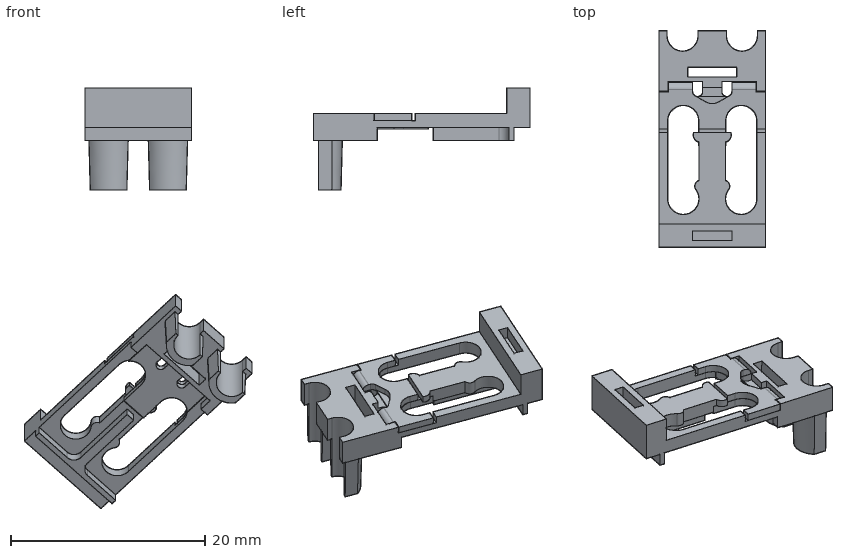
import cadquery as cq
import math


width = 11.0
length = 22.3
deck_top = 1.47
half_width = width / 2

head_length = 2.4
head_top = 4.08
pocket_half_width = 2.03
pocket_front = 0.71
pocket_width = 0.98
pocket_depth = 1.34

underside = -1.34
foot_front = 1.65
foot_back = 2.19
rib_half_width = 0.47
rib_back = 10.0
rib_fillet = 1.0
block_front = 15.72
leg_width = 0.94

pad_bottom = -0.15
pad_half_width = 4.2
pad_front = 10.45
pad_slot_inset = 0.02

bar_half_width = 1.38
slot_outer_x = 4.57
slot_radius = (slot_outer_x - bar_half_width) / 2
slot_x = slot_outer_x - slot_radius
slot_front_y = 5.0
slot_back_y = 13.02

ear_x = 1.18
front_ear_radius = 0.62
back_ear_radius = 0.78
back_ear_y = 11.57

recess_floor = 0.71
recess_front = 11.85
recess_shoulder = 16.08
recess_back = 17.05
recess_half_width = slot_outer_x

tongue_half_width = 1.0
tongue_front = 16.44
opening_outer_x = 2.0
opening_radius = (opening_outer_x - tongue_half_width) / 2
opening_x = tongue_half_width + opening_radius
opening_y = 16.03

gap = 0.07
lid_front = 12.18
lid_shoulder = recess_shoulder - gap
lid_back = recess_back - gap
lid_tail_half_width = recess_half_width - gap
lid_thickness = deck_top - recess_floor
tip_angle = 30.0
tip_radius = 1.34
tip_floor = 0.1

slit_half_width = 2.52
slit_front = 17.55
slit_back_top = 18.58
slit_back_bottom = 18.5

peg_x = 3.05
peg_back = 21.79
notch_radius = 1.58
peg_radius = 2.48
peg_half_width = 2.03
peg_side_reach = 2 * peg_radius
peg_length = 5.08
peg_draft = 1.5


def box(x0, x1, y0, y1, z0, z1):
    return cq.Workplane("XY").box(x1 - x0, y1 - y0, z1 - z0, centered=False).translate((x0, y0, z0))


def centred_box(half, y0, y1, z0, z1):
    return box(-half, half, y0, y1, z0, z1)


def both_sides(right_side):
    return right_side.union(right_side.mirror("YZ"))


def slots(inset=0):
    """Both long slots; near the front each one narrows around a round ear of the centre bar."""
    radius = slot_radius - inset
    inner_x = slot_x - radius
    outer_x = slot_x + radius
    ear_reach = radius + front_ear_radius
    ear_angle = math.acos((slot_x - ear_x) / ear_reach)
    ear_y = slot_front_y + ear_reach * math.sin(ear_angle)
    ear_end_y = ear_y + math.sqrt(front_ear_radius**2 - (inner_x - ear_x) ** 2)
    tangent_x = slot_x - radius * math.cos(ear_angle)
    tangent_y = slot_front_y + radius * math.sin(ear_angle)
    right_slot = (
        cq.Workplane("XY", origin=(0, 0, underside))
        .moveTo(outer_x, slot_back_y)
        .threePointArc((slot_x, slot_back_y + radius), (inner_x, slot_back_y))
        .lineTo(inner_x, ear_end_y)
        .threePointArc((ear_x + front_ear_radius, ear_y), (tangent_x, tangent_y))
        .threePointArc((slot_x, slot_front_y - radius), (outer_x, slot_front_y))
        .close()
        .extrude(deck_top - underside)
    )
    return both_sides(right_slot)


def rib_and_foot():
    """T-shaped stiffener under the bar: a cross foot and a rib joined by round fillets."""
    foot = centred_box(half_width, foot_front, foot_back, underside, 0)
    rib = centred_box(rib_half_width, foot_back, rib_back, underside, 0)
    fillet_block = box(
        rib_half_width, rib_half_width + rib_fillet, foot_back, foot_back + rib_fillet, underside, 0
    )
    fillet_round = (
        cq.Workplane("XY", origin=(rib_half_width + rib_fillet, foot_back + rib_fillet, underside))
        .circle(rib_fillet)
        .extrude(-underside)
    )
    return foot.union(rib).union(both_sides(fillet_block.cut(fillet_round)))


def recess():
    """Stepped space for the lid, left solid where the latch tongue stands."""
    front_part = centred_box(half_width, recess_front, recess_shoulder, recess_floor, deck_top)
    tail_part = centred_box(recess_half_width, recess_shoulder, recess_back, recess_floor, deck_top)
    tongue = centred_box(tongue_half_width, tongue_front, recess_back, recess_floor, deck_top)
    return front_part.union(tail_part).cut(tongue)


def tongue_openings():
    right_end = (
        cq.Workplane("XY", origin=(opening_x, opening_y, underside))
        .circle(opening_radius)
        .extrude(recess_floor - underside)
    )
    right_straight = box(
        tongue_half_width, opening_outer_x, opening_y, recess_back, underside, recess_floor
    )
    return both_sides(right_end.union(right_straight))


def pad():
    plate = centred_box(pad_half_width, pad_front, recess_back, pad_bottom, recess_floor)
    return plate.cut(slots(pad_slot_inset))


def back_ears():
    right_ear = (
        cq.Workplane("XY", origin=(ear_x, back_ear_y, recess_floor))
        .circle(back_ear_radius)
        .extrude(lid_thickness)
    )
    return both_sides(right_ear).cut(
        centred_box(half_width, recess_front, recess_back, recess_floor, deck_top)
    )


def slit():
    return (
        cq.Workplane("YZ", origin=(-slit_half_width, 0, 0))
        .polyline(
            [
                (slit_front, underside),
                (slit_back_bottom, underside),
                (slit_back_top, deck_top),
                (slit_front, deck_top),
            ]
        )
        .close()
        .extrude(2 * slit_half_width)
    )


def pegs():
    """Half-round pegs with flattened sides, drafted everywhere but on the flat back."""
    top = cq.Workplane("XY", origin=(peg_x, peg_back, underside))
    cone = top.circle(peg_radius).extrude(-peg_length, taper=peg_draft)
    flats = top.rect(2 * peg_half_width, 2 * peg_side_reach).extrude(-peg_length, taper=peg_draft)
    front_half = centred_box(half_width, peg_back - peg_radius, peg_back, underside - peg_length, underside)
    return both_sides(cone.intersect(flats).intersect(front_half))


def notches():
    """Round-ended notches in the rear edge, running down through the pegs."""
    bottom = underside - peg_length
    right_end = (
        cq.Workplane("XY", origin=(peg_x, peg_back, bottom))
        .circle(notch_radius)
        .extrude(deck_top - bottom)
    )
    right_straight = box(peg_x - notch_radius, peg_x + notch_radius, peg_back, length, bottom, deck_top)
    return both_sides(right_end.union(right_straight))


def make_frame():
    deck = centred_box(half_width, 0, length, 0, deck_top)
    head = centred_box(half_width, 0, head_length, 0, head_top)
    pocket = centred_box(
        pocket_half_width, pocket_front, pocket_front + pocket_width, head_top - pocket_depth, head_top
    )
    rear_block = centred_box(half_width, block_front, length, underside, 0)
    leg_space = centred_box(half_width - leg_width, block_front, recess_back, underside, 0)
    body = deck.union(head).cut(pocket).cut(slots())
    body = body.union(rear_block.cut(leg_space)).union(rib_and_foot())
    body = body.cut(recess()).union(pad()).union(back_ears()).cut(tongue_openings())
    return body.union(pegs()).cut(notches()).cut(slit())


def lid_cutout():
    """Clearance around the tongue: straight sides, round corners and a blunt pointed tip."""
    slope = math.radians(tip_angle)
    side_x = opening_outer_x
    corner_x = opening_x + opening_radius * math.sin(slope)
    corner_y = opening_y - opening_radius * math.cos(slope)
    middle_x = opening_x + opening_radius * math.sin(slope / 2 + math.pi / 4)
    middle_y = opening_y - opening_radius * math.cos(slope / 2 + math.pi / 4)
    tip_x = tip_radius * math.sin(slope)
    tip_side_y = corner_y - (corner_x - tip_x) * math.tan(slope)
    tip_y = tip_side_y - tip_radius * (1 - math.cos(slope))
    return (
        cq.Workplane("XY", origin=(0, 0, recess_floor))
        .moveTo(side_x, recess_back)
        .lineTo(side_x, opening_y)
        .threePointArc((middle_x, middle_y), (corner_x, corner_y))
        .lineTo(tip_x, tip_side_y)
        .threePointArc((0, tip_y), (-tip_x, tip_side_y))
        .lineTo(-corner_x, corner_y)
        .threePointArc((-middle_x, middle_y), (-side_x, opening_y))
        .lineTo(-side_x, recess_back)
        .close()
        .extrude(lid_thickness)
    )


def make_lid():
    """Plate lying in the recess, with a full quarter-round rear edge and a thin floor under the tip."""
    plate = centred_box(half_width, lid_front, lid_shoulder, recess_floor, deck_top)
    tail = centred_box(lid_tail_half_width, lid_shoulder, lid_back, recess_floor, deck_top)
    rear_curve_y = lid_back - lid_thickness
    rear_corner = centred_box(lid_tail_half_width, rear_curve_y, lid_back, recess_floor, deck_top)
    rear_round = (
        cq.Workplane("YZ", origin=(-half_width, rear_curve_y, recess_floor))
        .circle(lid_thickness)
        .extrude(width)
    )
    tip_edge = opening_y - opening_radius
    tip_plate = centred_box(half_width, lid_front, tip_edge, recess_floor, recess_floor + tip_floor)
    cutout = lid_cutout().cut(tip_plate)
    return plate.union(tail).cut(rear_corner.cut(rear_round)).cut(cutout).cut(slots())


frame = make_frame()
lid = make_lid()

result = cq.Compound.makeCompound([*frame.vals(), *lid.vals()])